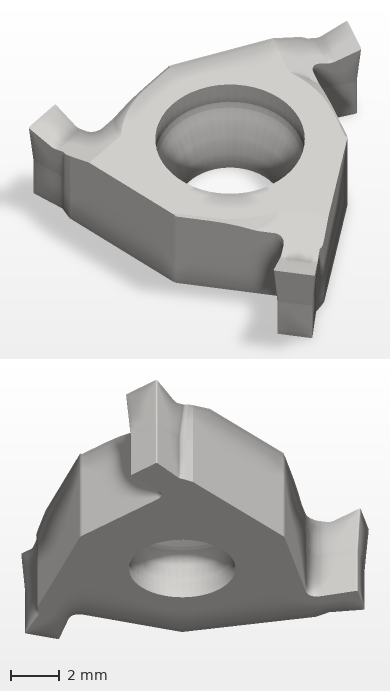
import cadquery as cq
import math

thickness = 4.08
tooth_count = 3
tooth_pitch = 360 / tooth_count

long_flat = 4.75
short_flat = 4.62
corner_radius = 0.37

tooth_center = -3.89
relief_height = 1.96
tip_height = 3.95
tip_y_base = 6.72
tip_y_edge = 6.87
tip_half_base = 0.73
tip_half_edge = 0.86
tip_corner_radius = 0.06
neck_half_base = 0.63
neck_half_edge = 0.78
shoulder_y = 4.64
shoulder_blend_x_base = -4.64
shoulder_blend_x_edge = -4.75
shoulder_blend_y_base = 4.95
shoulder_blend_y_edge = 4.81
shoulder_neck_y_base = 5.21
shoulder_neck_y_edge = 5.04
inner_blend = 0.48
root_overlap = 0.72

groove_end_y = 3.59
valley_y = 5.59
valley_height = 3.47
valley_radius = 0.46
rim_radius = 4.5
rim_slope = 0.62
rim_reach = 10.08
rim_foot_radius = 0.22
clearance = 1.44

throat_diameter = 4.4
bore_diameter = 6.16
bore_depth = 1.04
seat_top_radius = 2.98
seat_top_depth = 1.28
throat_height = 0.43


def at_each_tooth(shape):
    """Return three copies of a shape spaced around the hole axis."""
    return [shape.rotate((0, 0, 0), (0, 0, 1), i * tooth_pitch) for i in range(tooth_count)]


def flat_corner(angle_a, dist_a, angle_b, dist_b):
    """Return the corner of two flats, each set by its normal angle and distance from the axis."""
    a = math.radians(angle_a)
    b = math.radians(angle_b)
    det = math.sin(b - a)
    x = (dist_a * math.sin(b) - dist_b * math.sin(a)) / det
    y = (dist_b * math.cos(a) - dist_a * math.cos(b)) / det
    return x, y


def make_body():
    points = []
    for i in range(tooth_count):
        turn = -i * tooth_pitch
        points.append(flat_corner(180 + turn, long_flat, 90 + turn, short_flat))
        points.append(flat_corner(90 + turn, short_flat, 60 + turn, long_flat))
    body = cq.Workplane("XY").polyline(points).close().extrude(thickness)
    for i in range(tooth_count):
        x, y = points[2 * i + 1]
        edge = cq.selectors.NearestToPointSelector((x, y, thickness / 2))
        body = body.edges(edge).fillet(corner_radius)
    return body


def tooth_wire(plane, tip_y, tip_half, neck_half, blend_x, blend_y, shoulder_neck_y):
    """Draw the tooth outline, from its root in the body round the tip and back."""
    root_y = short_flat - root_overlap
    inner_neck_x = tooth_center + neck_half
    flank_left = (tooth_center - neck_half, shoulder_neck_y)
    inner_end_x = inner_neck_x + inner_blend
    return (
        plane.moveTo(-long_flat, root_y)
        .lineTo(-long_flat, shoulder_y)
        .lineTo(blend_x, blend_y)
        .tangentArcPoint(flank_left, relative=False)
        .lineTo(tooth_center - tip_half, tip_y - tip_corner_radius)
        .tangentArcPoint((tooth_center - tip_half + tip_corner_radius, tip_y), relative=False)
        .lineTo(tooth_center + tip_half - tip_corner_radius, tip_y)
        .tangentArcPoint((tooth_center + tip_half, tip_y - tip_corner_radius), relative=False)
        .lineTo(inner_neck_x, short_flat + inner_blend)
        .tangentArcPoint((inner_end_x, short_flat), relative=False)
        .lineTo(inner_end_x, root_y)
        .close()
    )


def make_tooth():
    base = (
        tip_y_base, tip_half_base, neck_half_base,
        shoulder_blend_x_base, shoulder_blend_y_base, shoulder_neck_y_base,
    )
    edge = (
        tip_y_edge, tip_half_edge, neck_half_edge,
        shoulder_blend_x_edge, shoulder_blend_y_edge, shoulder_neck_y_edge,
    )
    shank = tooth_wire(cq.Workplane("XY"), *base).extrude(relief_height)
    lower = tooth_wire(cq.Workplane("XY").workplane(offset=relief_height), *base)
    upper = tooth_wire(cq.Workplane("XY").workplane(offset=tip_height), *edge)
    flare = cq.Solid.makeLoft([lower.val(), upper.val()], True)
    return shank.union(cq.Workplane(flare))


def make_groove():
    """Space above the chip groove, kept outside a sloping rim around the hole."""
    above = thickness + clearance
    far_y = tip_y_edge + clearance
    tip_slope = (tip_height - valley_height) / (tip_y_edge - valley_y)
    profile = [
        (groove_end_y, above),
        (groove_end_y, thickness),
        (valley_y, valley_height),
        (far_y, valley_height + tip_slope * (far_y - valley_y)),
        (far_y, above),
    ]
    groove = cq.Workplane("YZ").polyline(profile).close().extrude(-long_flat - clearance)
    valley = cq.selectors.NearestToPointSelector((tooth_center, valley_y, valley_height))
    groove = groove.edges("|X").edges(valley).fillet(valley_radius)

    rim_drop = rim_slope * (rim_reach - rim_radius)
    outside_rim = (
        cq.Workplane("XZ")
        .polyline([
            (rim_radius, above),
            (rim_radius, thickness),
            (rim_reach, thickness - rim_drop),
            (rim_reach, above),
        ])
        .close()
        .revolve(360, (0, 0), (0, 1))
    )
    groove = groove.intersect(outside_rim)
    rim_foot = cq.selectors.BoxSelector(
        (-rim_radius, groove_end_y, valley_height), (0, valley_y, thickness)
    )
    return groove.edges("%ELLIPSE").edges(rim_foot).fillet(rim_foot_radius)


def make_rim_chamfer():
    """Thin chamfer carrying the rim on along the short flat to its corner."""
    drop = rim_slope * (short_flat - rim_radius)
    corner_x = (long_flat - short_flat * math.cos(math.pi / 6)) / math.sin(math.pi / 6)
    return (
        cq.Workplane("YZ")
        .polyline([(rim_radius, thickness), (short_flat, thickness - drop), (short_flat, thickness)])
        .close()
        .extrude(corner_x)
    )


def make_hole():
    throat_radius = throat_diameter / 2
    bore_radius = bore_diameter / 2
    seat_top = thickness - seat_top_depth
    width = seat_top_radius - throat_radius
    height = seat_top - throat_height
    seat_radius = (width**2 + height**2) / (2 * width)
    half_angle = math.asin(height / seat_radius) / 2
    seat_middle = (
        throat_radius + seat_radius * (1 - math.cos(half_angle)),
        throat_height + seat_radius * math.sin(half_angle),
    )
    return (
        cq.Workplane("XZ")
        .moveTo(0, 0)
        .lineTo(throat_radius, 0)
        .lineTo(throat_radius, throat_height)
        .threePointArc(seat_middle, (seat_top_radius, seat_top))
        .lineTo(bore_radius, thickness - bore_depth)
        .lineTo(bore_radius, thickness)
        .lineTo(0, thickness)
        .close()
        .revolve(360, (0, 0), (0, 1))
    )


result = make_body()
for tooth in at_each_tooth(make_tooth()):
    result = result.union(tooth)
for cutter in at_each_tooth(make_groove()) + at_each_tooth(make_rim_chamfer()):
    result = result.cut(cutter)
result = result.cut(make_hole())